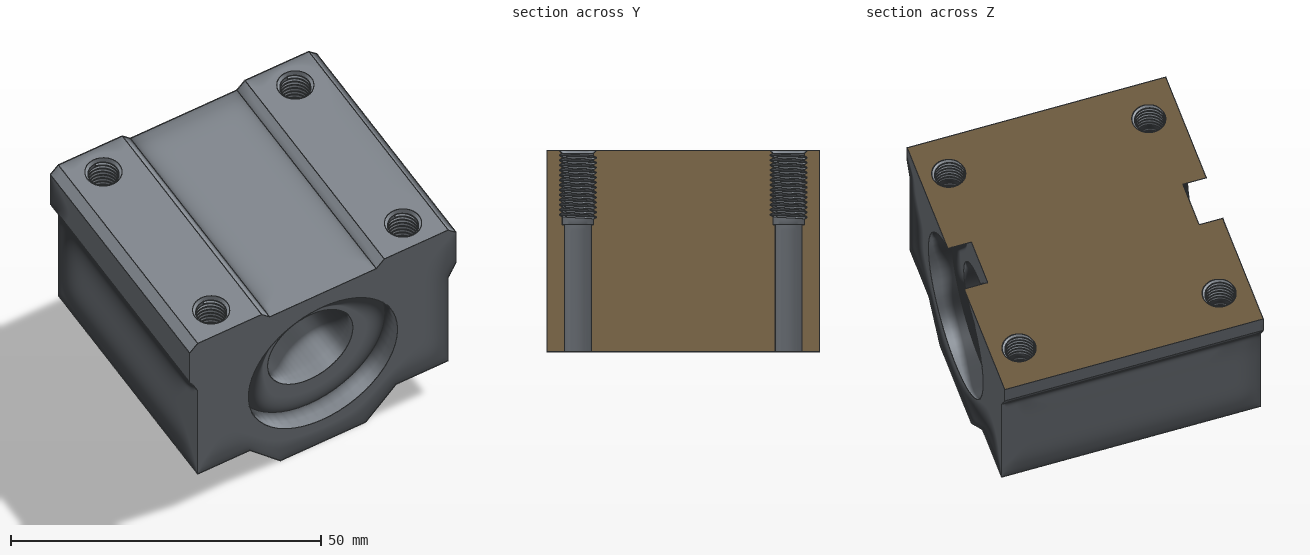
import cadquery as cq
import math

LENGTH = 44.0
WIDTH = 50.0
HEIGHT = 38.5
BODY_WIDTH = 47.0
KEEL_WIDTH = 16.0
KEEL_TOP_WIDTH = 27.4
KEEL_HEIGHT = 6.0
FLANGE_TAPER_BOTTOM = 26.7
FLANGE_TAPER_TOP = 29.7
EDGE_BREAK = 1.5
GROOVE_WIDTH = 20.0
GROOVE_TOP_WIDTH = 23.0
GROOVE_DEPTH = 1.5

BORE_HEIGHT = 19.5
BORE_DIAMETER = 16.0
RECESS_DIAMETER = 28.0
RECESS_DEPTH = 4.0

HOLE_PITCH_X = 34.0
HOLE_PITCH_Y = 36.0
THREAD_MINOR = 5.0
THREAD_PITCH = 0.8
THREAD_TURNS = 12.5
THREAD_OPENING = THREAD_PITCH * 3 / 4
THREAD_ROOT = THREAD_PITCH / 8
THREAD_FLANK_ANGLE = 30.0
THREAD_OVERLAP = 0.1
TAPPED_DEPTH = 12.0
CLEARANCE_DIAMETER = 4.3
COUNTERSINK_DIAMETER = 6.0
COUNTERSINK_DEPTH = (COUNTERSINK_DIAMETER - THREAD_MINOR) / 2


def make_block():
    right_side = [
        (KEEL_WIDTH / 2, 0),
        (KEEL_TOP_WIDTH / 2, KEEL_HEIGHT),
        (BODY_WIDTH / 2, KEEL_HEIGHT),
        (BODY_WIDTH / 2, FLANGE_TAPER_BOTTOM),
        (WIDTH / 2, FLANGE_TAPER_TOP),
        (WIDTH / 2, HEIGHT - EDGE_BREAK),
        (WIDTH / 2 - EDGE_BREAK, HEIGHT),
        (GROOVE_TOP_WIDTH / 2, HEIGHT),
        (GROOVE_WIDTH / 2, HEIGHT - GROOVE_DEPTH),
    ]
    left_side = [(-y, z) for y, z in reversed(right_side)]
    outline = cq.Workplane("YZ").polyline(right_side + left_side).close()
    return outline.extrude(LENGTH / 2, both=True)


def cylinder_along_x(diameter, start, length):
    plane = cq.Workplane("YZ", origin=(start, 0, BORE_HEIGHT))
    return plane.circle(diameter / 2).extrude(length)


def cut_bearing_bore(block):
    block = block.cut(cylinder_along_x(BORE_DIAMETER, -LENGTH / 2, LENGTH))
    for start in (-LENGTH / 2, LENGTH / 2 - RECESS_DEPTH):
        block = block.cut(cylinder_along_x(RECESS_DIAMETER, start, RECESS_DEPTH))
    return block


def make_stepped_hole():
    """Revolved cutter: countersink, tapped length at the minor diameter, then a clearance hole."""
    profile = [
        (0, HEIGHT),
        (COUNTERSINK_DIAMETER / 2, HEIGHT),
        (THREAD_MINOR / 2, HEIGHT - COUNTERSINK_DEPTH),
        (THREAD_MINOR / 2, HEIGHT - TAPPED_DEPTH),
        (CLEARANCE_DIAMETER / 2, HEIGHT - TAPPED_DEPTH),
        (CLEARANCE_DIAMETER / 2, 0),
        (0, 0),
    ]
    return cq.Workplane("XZ").polyline(profile).close().revolve(360, (0, 0, 0), (0, 1, 0))


def make_thread_groove():
    """Helical V groove whose upper end just meets the foot of the countersink."""
    flank_slope = math.tan(math.radians(THREAD_FLANK_ANGLE))
    inner_radius = THREAD_MINOR / 2 - THREAD_OVERLAP
    outer_radius = THREAD_MINOR / 2 + (THREAD_OPENING - THREAD_ROOT) / 2 / flank_slope
    inner_half = THREAD_OPENING / 2 + THREAD_OVERLAP * flank_slope
    outer_half = THREAD_ROOT / 2
    helix_height = THREAD_TURNS * THREAD_PITCH
    helix_bottom = HEIGHT - COUNTERSINK_DEPTH - THREAD_OPENING / 2 - helix_height
    section = [
        (inner_radius, -inner_half),
        (outer_radius, -outer_half),
        (outer_radius, outer_half),
        (inner_radius, inner_half),
    ]
    helix = cq.Wire.makeHelix(THREAD_PITCH, helix_height, THREAD_MINOR / 2)
    groove = cq.Workplane("XZ").polyline(section).close().sweep(cq.Workplane(obj=helix), isFrenet=True)
    return groove.translate((0, 0, helix_bottom))


def cut_mounting_holes(block):
    stepped_hole = make_stepped_hole()
    thread_groove = make_thread_groove()
    for x in (-HOLE_PITCH_X / 2, HOLE_PITCH_X / 2):
        for y in (-HOLE_PITCH_Y / 2, HOLE_PITCH_Y / 2):
            block = block.cut(stepped_hole.translate((x, y, 0)))
            block = block.cut(thread_groove.translate((x, y, 0)))
    return block


result = cut_mounting_holes(cut_bearing_bore(make_block())).solids()